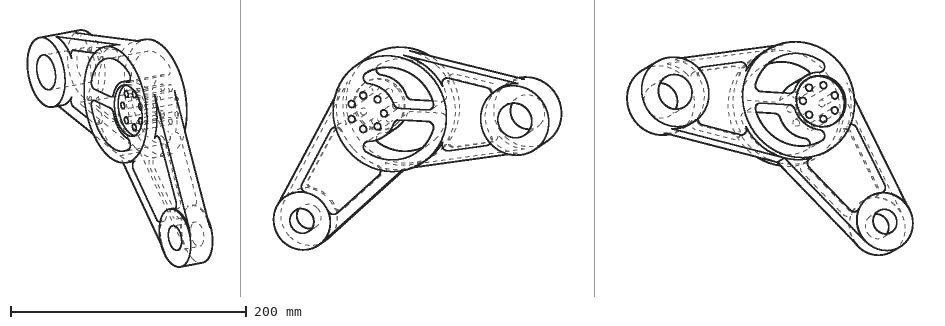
import cadquery as cq
import math


overall_length = 245.0

hub_diameter = 100.0
hub_width = 40.0
hub_radius = hub_diameter / 2

left_boss_x = -110.0
left_boss_diameter = 60.0
left_bore_diameter = 30.0
left_boss_radius = left_boss_diameter / 2

right_boss_z = -98.7
right_boss_diameter = 50.0
right_bore_diameter = 21.0
right_boss_width = 22.0
right_boss_radius = right_boss_diameter / 2
right_boss_x = left_boss_x - left_boss_radius + overall_length - right_boss_radius

arm_thickness = 20.0
arm_rim = 10.0
hub_right_x = 46.0
pocket_depth = 5.0
pocket_corner_radius = 5.0
pocket_floor_radius = 2.0

window_radius = 40.0
spoke_thickness = 10.0
window_corner_radius = 5.0

plate_x = 20.0
plate_outer_radius = 25.0
recess_diameter = 44.0
recess_depth = 4.0
bolt_hole_diameter = 6.0
bolt_circle_radius = 15.0
bolt_hole_count = 7

left_center = (left_boss_x, 0)
right_center = (right_boss_x, right_boss_z)


def cylinder(center, diameter, width):
    """Cylinder along Y, centred on Y = 0."""
    back_plane = cq.Workplane("XZ", origin=(0, width / 2, 0))
    return back_plane.center(*center).circle(diameter / 2).extrude(width)


def prism(points, thickness):
    """Straight-sided prism along Y, centred on Y = 0."""
    back_plane = cq.Workplane("XZ", origin=(0, thickness / 2, 0))
    return back_plane.polyline(points).close().extrude(thickness)


def tangent_point(point, center, radius, side):
    """Where a line from point touches a circle; side +1 or -1 picks one of the two tangents."""
    dx = point[0] - center[0]
    dz = point[1] - center[1]
    angle = math.atan2(dz, dx) + side * math.acos(radius / math.hypot(dx, dz))
    return (center[0] + radius * math.cos(angle), center[1] + radius * math.sin(angle))


def inset(start, end, distance):
    """The edge from start to end, moved to its left by distance."""
    length = math.dist(start, end)
    shift_x = -(end[1] - start[1]) / length * distance
    shift_z = (end[0] - start[0]) / length * distance
    return [(start[0] + shift_x, start[1] + shift_z), (end[0] + shift_x, end[1] + shift_z)]


def arm_pocket(lower_edge, upper_edge, boss_center, boss_diameter):
    """Cutter for the front pocket, bounded by the hub, the boss and a rim along both arm edges."""
    outline = inset(*lower_edge, arm_rim) + inset(*upper_edge, arm_rim)
    cutter = prism(outline, pocket_depth)
    cutter = cutter.cut(cylinder((0, 0), hub_diameter, hub_width))
    cutter = cutter.cut(cylinder(boss_center, boss_diameter, hub_width))
    cutter = cutter.edges("|Y").fillet(pocket_corner_radius)
    cutter = cutter.faces(">Y").edges().fillet(pocket_floor_radius)
    return cutter.translate((0, (pocket_depth - arm_thickness) / 2, 0))


left_boss_top = (left_boss_x, left_boss_radius)
left_boss_bottom = (left_boss_x, -left_boss_radius)
hub_upper_left = tangent_point(left_boss_top, (0, 0), hub_radius, -1)
hub_lower_left = tangent_point(left_boss_bottom, (0, 0), hub_radius, 1)
left_lower_edge = (left_boss_bottom, hub_lower_left)
left_upper_edge = (hub_upper_left, left_boss_top)

hub_right = (hub_right_x, math.sqrt(hub_radius**2 - hub_right_x**2))
right_boss_upper = tangent_point(hub_right, right_center, right_boss_radius, -1)
right_boss_lower = tangent_point(hub_lower_left, right_center, right_boss_radius, 1)
right_lower_edge = (hub_lower_left, right_boss_lower)
right_upper_edge = (right_boss_upper, hub_right)

arms = prism([*left_lower_edge, *left_upper_edge], arm_thickness)
right_arm_outline = [*right_lower_edge, right_center, *right_upper_edge, (0, 0)]
arms = arms.union(prism(right_arm_outline, arm_thickness))
for pocket in (
    arm_pocket(left_lower_edge, left_upper_edge, left_center, left_boss_diameter),
    arm_pocket(right_lower_edge, right_upper_edge, right_center, right_boss_diameter),
):
    arms = arms.cut(pocket).cut(pocket.mirror("XZ"))


def hub_window():
    """Cutter for the window above the spoke, wrapped around the plate."""
    half_spoke = spoke_thickness / 2
    upper_half = prism(
        [
            (-hub_radius, half_spoke),
            (hub_radius, half_spoke),
            (hub_radius, hub_radius),
            (-hub_radius, hub_radius),
        ],
        hub_width,
    )
    window = cylinder((0, 0), 2 * window_radius, hub_width).intersect(upper_half)
    window = window.cut(cylinder((plate_x, 0), 2 * plate_outer_radius, hub_width))
    return window.edges("|Y").fillet(window_corner_radius)


lever = arms.union(cylinder((0, 0), hub_diameter, hub_width))
lever = lever.union(cylinder(left_center, left_boss_diameter, hub_width))
lever = lever.union(cylinder(right_center, right_boss_diameter, right_boss_width))

lever = lever.cut(cylinder(left_center, left_bore_diameter, hub_width))
lever = lever.cut(cylinder(right_center, right_bore_diameter, hub_width))

upper_window = hub_window()
lever = lever.cut(upper_window).cut(upper_window.mirror("XY"))

recess = cylinder((plate_x, 0), recess_diameter, recess_depth)
lever = lever.cut(recess.translate((0, (recess_depth - hub_width) / 2, 0)))

for index in range(bolt_hole_count):
    angle = math.pi + index * 2 * math.pi / bolt_hole_count
    hole_x = plate_x + bolt_circle_radius * math.cos(angle)
    hole_z = bolt_circle_radius * math.sin(angle)
    lever = lever.cut(cylinder((hole_x, hole_z), bolt_hole_diameter, hub_width))

result = lever